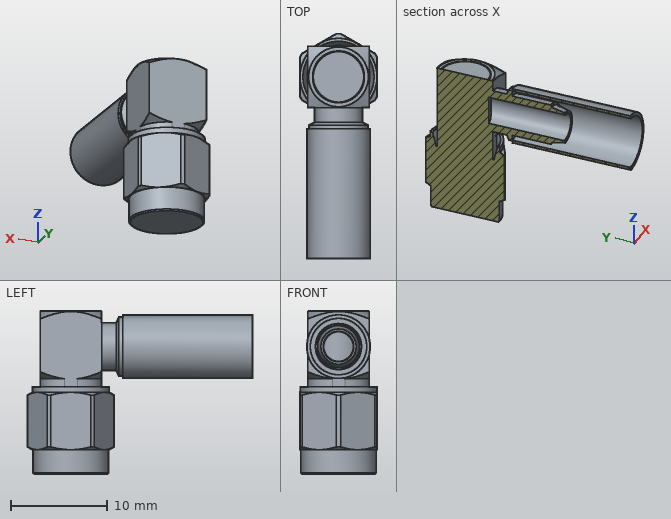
import cadquery as cq
import math


overall_height = 16.95
nut_barrel_radius = 3.93
barrel_edge_chamfer = 0.15
hex_across_flats = 8.0
hex_corner_radius = 4.5
hex_bottom_z = 2.54
hex_top_z = 8.5
nut_top_z = 9.07
nut_mouth_radius = 3.7
nut_mouth_angle = 75.0

block_width = 6.4
block_bottom_z = 9.9
block_top_radius = 3.1
block_neck_radius = 3.27
corner_angle = 30.0
cap_groove_radius = 2.7
cap_groove_width = 0.08

cable_axis_z = 13.25
outlet_neck_radius = 2.5
outlet_neck_end = 4.72
collar_start = 5.0
collar_radius = 3.08

stub_radius = 2.4
stub_length = 6.0
stub_step_radius = 2.22
stub_step_chamfer = 0.12
stub_tip_radius = 2.17
stub_end_radius = 1.83
stub_end_taper = 1.5
cable_bore_radius = 1.54
cable_bore_chamfer = 0.05
core_radius = 2.7

ferrule_radius = 3.3
ferrule_bore_radius = 2.93
ferrule_start = 5.4
ferrule_end = 18.87


def rise(run, angle):
    """Height gained over a radial run by a cone sloping at the given angle."""
    return run * math.tan(math.radians(angle))


def turned_about_z(outline):
    """Solid of revolution about Z from (radius, z) points."""
    return cq.Workplane("XZ").polyline(outline).close().revolve(360, (0, 0), (0, 1))


def turned_about_cable(outline):
    """Solid of revolution about the cable axis from (radius, distance) points."""
    return (
        cq.Workplane("XY")
        .polyline([(radius, -distance) for radius, distance in outline])
        .close()
        .revolve(360, (0, 0), (0, 1))
        .translate((0, 0, cable_axis_z))
    )


def make_nut():
    barrel = (
        cq.Workplane("XY")
        .circle(nut_barrel_radius)
        .extrude(nut_top_z)
        .faces("<Z")
        .chamfer(barrel_edge_chamfer)
    )
    flat_radius = hex_across_flats / 2
    hexagon = (
        cq.Workplane("XY", origin=(0, 0, hex_bottom_z))
        .polygon(6, hex_across_flats, circumscribed=True)
        .extrude(hex_top_z - hex_bottom_z)
    )
    corner_drop = rise(hex_corner_radius - flat_radius, corner_angle)
    corner_turning = turned_about_z([
        (0, hex_bottom_z),
        (flat_radius, hex_bottom_z),
        (hex_corner_radius, hex_bottom_z + corner_drop),
        (hex_corner_radius, hex_top_z - corner_drop),
        (flat_radius, hex_top_z),
        (0, hex_top_z),
    ])
    flange = (
        cq.Workplane("XY", origin=(0, 0, hex_top_z))
        .circle(flat_radius)
        .extrude(nut_top_z - hex_top_z)
    )
    mouth_depth = rise(nut_mouth_radius - block_neck_radius, nut_mouth_angle)
    mouth = turned_about_z([
        (0, nut_top_z),
        (nut_mouth_radius, nut_top_z),
        (block_neck_radius, nut_top_z - mouth_depth),
        (0, nut_top_z - mouth_depth),
    ])
    return barrel.union(hexagon.intersect(corner_turning)).union(flange).cut(mouth)


def make_elbow_block():
    """Square block whose corners are turned to cones and whose foot is a flatted cylinder."""
    diagonal_radius = block_width / math.sqrt(2)
    foot_z = hex_bottom_z
    block = (
        cq.Workplane("XY", origin=(0, 0, foot_z))
        .rect(block_width, block_width)
        .extrude(overall_height - foot_z)
    )
    turning = turned_about_z([
        (0, foot_z),
        (block_neck_radius, foot_z),
        (block_neck_radius, block_bottom_z),
        (diagonal_radius, block_bottom_z + rise(diagonal_radius - block_neck_radius, corner_angle)),
        (diagonal_radius, overall_height - rise(diagonal_radius - block_top_radius, corner_angle)),
        (block_top_radius, overall_height),
        (0, overall_height),
    ])
    cap_groove = turned_about_z([
        (cap_groove_radius - cap_groove_width, overall_height),
        (cap_groove_radius, overall_height),
        (cap_groove_radius, overall_height - cap_groove_width),
    ])
    return block.intersect(turning).cut(cap_groove)


def make_cable_outlet():
    stub_end = ferrule_start + stub_length
    taper_start = stub_end - stub_end_taper
    return turned_about_cable([
        (0, 0),
        (outlet_neck_radius, 0),
        (outlet_neck_radius, outlet_neck_end),
        (collar_radius, collar_start),
        (collar_radius, ferrule_start),
        (stub_radius, ferrule_start),
        (stub_radius, taper_start - stub_step_chamfer),
        (stub_step_radius, taper_start),
        (stub_tip_radius, taper_start),
        (stub_end_radius, stub_end),
        (0, stub_end),
    ])


def make_connector():
    core = (
        cq.Workplane("XY", origin=(0, 0, cable_axis_z - cable_bore_radius))
        .circle(core_radius)
        .extrude(2 * cable_bore_radius)
    )
    bore_end = ferrule_start + stub_length
    cable_bore = turned_about_cable([
        (0, 0),
        (cable_bore_radius, 0),
        (cable_bore_radius, bore_end - cable_bore_chamfer),
        (cable_bore_radius + cable_bore_chamfer, bore_end),
        (0, bore_end),
    ]).cut(core)
    return make_nut().union(make_elbow_block()).union(make_cable_outlet()).cut(cable_bore)


def make_ferrule():
    return turned_about_cable([
        (ferrule_bore_radius, ferrule_start),
        (ferrule_radius, ferrule_start),
        (ferrule_radius, ferrule_end),
        (ferrule_bore_radius, ferrule_end),
    ])


connector = make_connector()
ferrule = make_ferrule()

result = cq.Compound.makeCompound([connector.val(), ferrule.val()])